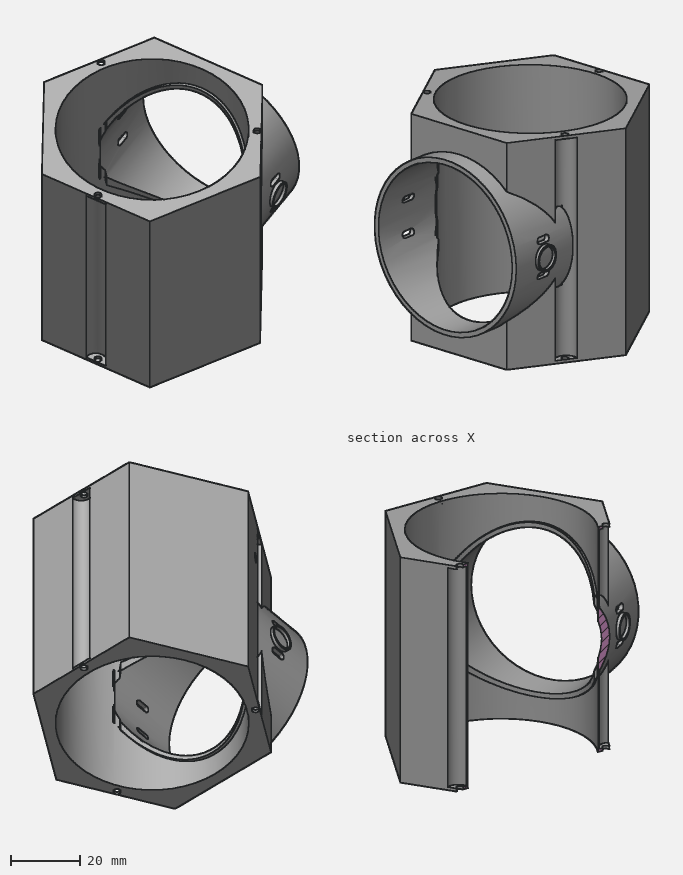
import cadquery as cq
import math

TOTAL_WIDTH = 82.3
HALF_FACE_ANGLE = math.radians(30)
BODY_HEIGHT = 70.0
FLAT_RADIUS = 63.0 / 2
CORNER_RADIUS = FLAT_RADIUS / math.cos(HALF_FACE_ANGLE)
BORE_RADIUS = 55.75 / 2
MID_HEIGHT = BODY_HEIGHT / 2

TUBE_ANGLE = 120
TUBE_OUTER_RADIUS = 54.0 / 2
TUBE_INNER_RADIUS = 51.0 / 2
TUBE_RIM_RISE = TUBE_OUTER_RADIUS * math.sin(HALF_FACE_ANGLE)
TUBE_START = 12.0
TUBE_BORE_START = 12.5
TUBE_END = (TOTAL_WIDTH - CORNER_RADIUS - TUBE_RIM_RISE) / math.cos(HALF_FACE_ANGLE)

LIP_INNER_RADIUS = 26.9
LIP_SPAN = 120

SLIVER_OFFSET = 24.9

GROOVE_ANGLES = (60, 180, 300)
GROOVE_RADIUS = 3.3
GROOVE_END_WALL = 1.0
WIRE_HOLE_DIAMETER = 2.1
WIRE_HOLE_OFFSET = 30.3

RING_OUTER_DIAMETER = 8.0
RING_INNER_DIAMETER = 6.9
RING_RISE = 1.0
RING_TOP = TUBE_OUTER_RADIUS + RING_RISE
RING_DISTANCE = 24.95
SLOT_LENGTH = 5.0
SLOT_HEIGHT = 2.0
SLOT_RISE = 5.4

WALL_HOLE_DIAMETER = 3.0
WALL_HOLE_ANGLE = 60
WALL_HOLE_OFFSET = -6.25
WALL_HOLE_HEIGHT = 54.7


def upright_cylinder(radius, x=0.0, bottom=0.0, height=BODY_HEIGHT):
    return cq.Workplane("XY", origin=(x, 0, bottom)).circle(radius).extrude(height)


def at_angle(shape, angle):
    """Turn a shape made along +X to face the given direction."""
    return shape.rotate((0, 0, 0), (0, 0, 1), angle)


def rod_along_x(radius, start, end, y=0.0, z=MID_HEIGHT):
    return cq.Workplane("YZ", origin=(start, y, z)).circle(radius).extrude(end - start)


def hexagonal_body():
    body = cq.Workplane("XY").polygon(6, 2 * CORNER_RADIUS).extrude(BODY_HEIGHT)
    body = at_angle(body, math.degrees(HALF_FACE_ANGLE))
    for angle in GROOVE_ANGLES:
        groove = upright_cylinder(
            GROOVE_RADIUS, x=FLAT_RADIUS, bottom=GROOVE_END_WALL, height=BODY_HEIGHT - 2 * GROOVE_END_WALL
        )
        wire_hole = upright_cylinder(WIRE_HOLE_DIAMETER / 2, x=WIRE_HOLE_OFFSET)
        body = body.cut(at_angle(groove.union(wire_hole), angle))
    return body


def sector(span):
    """Wedge centred on +X, wide enough to cover the whole bore."""
    half = math.radians(span / 2)
    reach = 2 * CORNER_RADIUS
    x = reach * math.cos(half)
    y = reach * math.sin(half)
    return cq.Workplane("XY").polyline([(0, 0), (x, -y), (reach, 0), (x, y)]).close().extrude(BODY_HEIGHT)


def side_ring(side):
    """Raised ring on one side of the tube; side is +1 or -1."""
    plane = cq.Plane(origin=(RING_DISTANCE, 0, MID_HEIGHT), xDir=(1, 0, 0), normal=(0, side, 0))
    depth = (TUBE_INNER_RADIUS + TUBE_OUTER_RADIUS) / 2
    return (
        cq.Workplane(plane)
        .workplane(offset=depth)
        .circle(RING_OUTER_DIAMETER / 2)
        .circle(RING_INNER_DIAMETER / 2)
        .extrude(RING_TOP - depth)
    )


def slot_pair():
    """Two slots, above and below the rings, running across the whole tube."""
    return (
        cq.Workplane("XZ", origin=(RING_DISTANCE, 0, MID_HEIGHT))
        .pushPoints([(0, SLOT_RISE), (0, -SLOT_RISE)])
        .slot2D(SLOT_LENGTH, SLOT_HEIGHT)
        .extrude(TUBE_OUTER_RADIUS * 2, both=True)
    )


def branch_tube():
    """Solid tube blank with a raised ring on both sides."""
    blank = rod_along_x(TUBE_OUTER_RADIUS, TUBE_START, TUBE_END)
    for side in (1, -1):
        blank = blank.union(side_ring(side))
    return blank


def lip():
    """The part of the tube blank that stays inside the bore as a thin curved band."""
    band = sector(LIP_SPAN).cut(upright_cylinder(LIP_INNER_RADIUS))
    return band.intersect(rod_along_x(TUBE_OUTER_RADIUS, TUBE_START, TUBE_END))


def wall_slivers():
    """Short pieces of the tube wall far out to both sides of its axis."""
    wall = rod_along_x(TUBE_OUTER_RADIUS, TUBE_START, TUBE_BORE_START)
    opening = rod_along_x(TUBE_INNER_RADIUS, TUBE_START, TUBE_BORE_START)
    middle = cq.Workplane("XY").box(2 * BORE_RADIUS, 2 * SLIVER_OFFSET, 2 * BODY_HEIGHT)
    return wall.cut(opening).cut(middle)


def main_bore():
    """Cutter for the upright bore that spares the lip and the slivers."""
    cutter = upright_cylinder(BORE_RADIUS)
    for kept in (lip(), wall_slivers()):
        cutter = cutter.cut(at_angle(kept, TUBE_ANGLE))
    return cutter


def wall_hole():
    return rod_along_x(
        WALL_HOLE_DIAMETER / 2, BORE_RADIUS / 2, CORNER_RADIUS, y=WALL_HOLE_OFFSET, z=WALL_HOLE_HEIGHT
    )


tube_bore = rod_along_x(TUBE_INNER_RADIUS, TUBE_BORE_START, TUBE_END)

result = hexagonal_body().union(at_angle(branch_tube(), TUBE_ANGLE))
for cutter, angle in (
    (main_bore(), 0),
    (tube_bore, TUBE_ANGLE),
    (slot_pair(), TUBE_ANGLE),
    (wall_hole(), WALL_HOLE_ANGLE),
):
    result = result.cut(at_angle(cutter, angle))